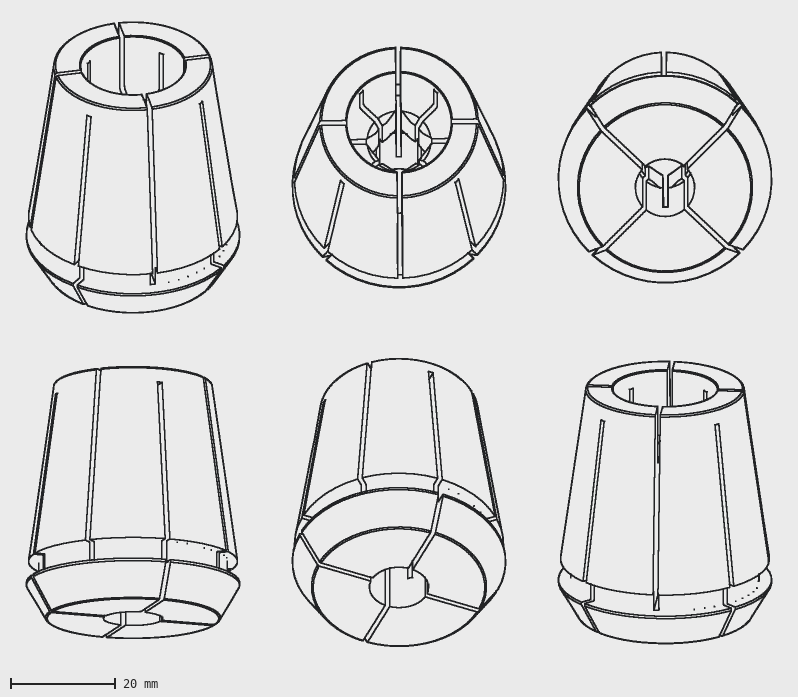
import cadquery as cq
import math

length = 46.0
collar_radius = 20.395
collar_rim_bottom = 6.55
collar_top = 7.05
nose_angle = 30.0
groove_radius = 18.05
groove_top = 11.2
groove_fillet = 0.2
taper_radius = 20.0
taper_angle = 8.0
nose_edge_chamfer = 0.2
top_edge_chamfer = 0.3

bore_radius = 10.0
bore_floor = 34.2
bore_fillet = 0.8
bore_mouth_chamfer = 0.2
funnel_radius = 6.1
funnel_depth = 2.0
square_size = 9.55
square_length = 12.0
pilot_radius = 4.95
shank_radius = 5.65
square_bottom = bore_floor - square_length

slit_width = 0.95
bottom_slit_top = 43.0
top_slit_bottom = 7.4
slit_length = 50.0
top_slit_angle = 45.0

nose_slope = math.tan(math.radians(nose_angle))
taper_slope = math.tan(math.radians(taper_angle))
nose_radius = collar_radius - collar_rim_bottom * nose_slope
top_radius = taper_radius - (length - groove_top) * taper_slope


def make_body():
    """Revolve the nose, collar, groove and 8 degree taper about Z."""
    profile = (
        cq.Workplane("XZ")
        .moveTo(0, 0)
        .lineTo(nose_radius - nose_edge_chamfer, 0)
        .lineTo(nose_radius + nose_edge_chamfer * nose_slope, nose_edge_chamfer)
        .lineTo(collar_radius, collar_rim_bottom)
        .lineTo(collar_radius, collar_top)
        .lineTo(groove_radius + groove_fillet, collar_top)
        .radiusArc((groove_radius, collar_top + groove_fillet), groove_fillet)
        .lineTo(groove_radius, groove_top - groove_fillet)
        .radiusArc((groove_radius + groove_fillet, groove_top), groove_fillet)
        .lineTo(taper_radius, groove_top)
        .lineTo(top_radius + top_edge_chamfer * taper_slope, length - top_edge_chamfer)
        .lineTo(top_radius - top_edge_chamfer, length)
        .lineTo(0, length)
        .close()
    )
    return profile.revolve(360, (0, 0, 0), (0, 1, 0))


def make_clearance_bore():
    """Wide upper bore with a rounded floor corner and a chamfered mouth."""
    profile = (
        cq.Workplane("XZ")
        .moveTo(0, bore_floor)
        .lineTo(bore_radius - bore_fillet, bore_floor)
        .radiusArc((bore_radius, bore_floor + bore_fillet), -bore_fillet)
        .lineTo(bore_radius, length - bore_mouth_chamfer)
        .lineTo(bore_radius + bore_mouth_chamfer, length)
        .lineTo(0, length)
        .close()
    )
    return profile.revolve(360, (0, 0, 0), (0, 1, 0))


def make_square_hole():
    """Square drive hole whose flats are relieved in the middle by a round pilot hole."""
    start = cq.Workplane("XY").workplane(offset=square_bottom)
    square = start.rect(square_size, square_size).extrude(square_length)
    pilot = start.circle(pilot_radius).extrude(square_length)
    return square.union(pilot)


def make_shank_bore():
    """Round bore from the bottom face up to the square drive hole."""
    return cq.Workplane("XY").circle(shank_radius).extrude(square_bottom)


def make_funnel():
    """Conical lead-in from the bore floor down to the round pilot hole."""
    return (
        cq.Workplane("XY")
        .workplane(offset=bore_floor - funnel_depth)
        .circle(pilot_radius)
        .workplane(offset=funnel_depth)
        .circle(funnel_radius)
        .loft(ruled=True)
    )


def make_slit_pair(bottom, top, angle):
    """Two crossing slits through the axis, turned by the angle about Z."""
    cross = cq.Workplane("XY").workplane(offset=bottom)
    height = top - bottom
    slit = cross.rect(slit_length, slit_width).extrude(height)
    crossing_slit = cross.rect(slit_width, slit_length).extrude(height)
    return slit.union(crossing_slit).rotate((0, 0, 0), (0, 0, 1), angle)


result = (
    make_body()
    .cut(make_clearance_bore())
    .cut(make_funnel())
    .cut(make_square_hole())
    .cut(make_shank_bore())
    .cut(make_slit_pair(0, bottom_slit_top, 0))
    .cut(make_slit_pair(top_slit_bottom, length, top_slit_angle))
)